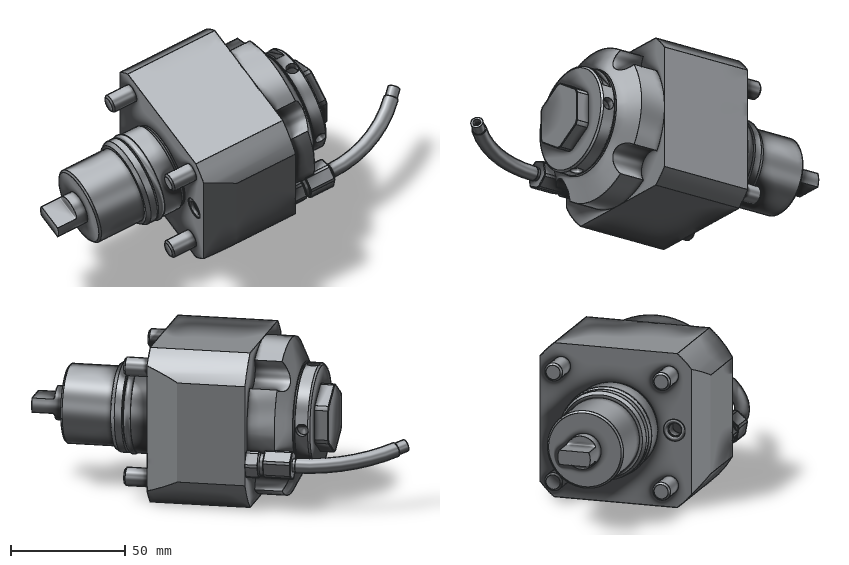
import cadquery as cq
import math


half_width = 35.0
corner_radius = 45.0
block_depth = 44.7
side_reach = 39.0
side_taper_length = 14.5

bolt_offset = 25.0
bolt_radius = 4.1
bolt_length = 12.0
bolt_chamfer = 0.9
bolt_relief_radius = 7.3

cone_start = 57.0
cone_end = 62.8
cone_end_radius = 24.2
ring_start = 63.7
ring_end = 70.3
ring_radius = 23.9
ring_chamfer = 0.9
ring_neck_radius = 23.2
ring_flat_distance = 22.0
ring_flat_start = 64.5
ring_flat_length = 4.0
spanner_hole_radius = 2.7
spanner_hole_depth = 3.4
spanner_hole_point = 1.7
nut_end = 76.6
nut_apothem = 13.7
nut_corner_radius = 15.2
nut_chamfer = 0.3

relief_radius = 19.5
relief_end = 0.9
shank_chamfer_end = 2.0
shank_radius = 20.1
shank_end = 10.8
seal_groove_end = 14.7
seal_groove_radius = 18.0
seal_edge_radius = 19.8
seal_outer_radius = 20.7
seal_end = 13.8
collar_chamfer_start = 18.0
collar_end = 19.8
collar_end_radius = 19.0
nose_radius = 17.5
nose_end = 42.7
nose_chamfer = 0.9
drive_radius = 7.5
drive_shoulder = 47.6
drive_end = 57.7
tang_thickness = 6.5
tang_root_fillet = 1.0

port_x = 27.0
port_recess_radius = 5.0
port_recess_depth = 1.7
port_bore_radius = 2.9
port_bore_depth = 6.8
port_seal_radius = 4.1
port_seal_section_radius = 0.94

fitting_x = 33.0
fitting_z = -13.7
fitting_hex_radius = 6.8
fitting_turned_radius = 6.5
lower_hex_end = 50.2
lower_hex_angle = 2.4
fitting_neck_radius = 5.1
fitting_collar_radius = 5.6
fitting_collar_end = 50.9
upper_hex_start = 52.5
upper_hex_end = 65.0
upper_hex_angle = 20.0
upper_hex_chamfer = 0.3
stub_radius = 2.9
hose_start = 66.4
hose_radius = 3.2
hose_bend_angle = 45.0
hose_lean_angle = 18.7
tip_radius = 2.7
tip_length = 5.1
tip_bore_radius = 1.7
overall_length = 170.7

bend_sine = math.sin(math.radians(hose_bend_angle))
bend_cosine = math.cos(math.radians(hose_bend_angle))
tip_reach = tip_length * bend_cosine + tip_radius * bend_sine
hose_bend_radius = (overall_length - drive_end - hose_start - tip_reach) / bend_sine


def plane_at(y, x=0.0, z=0.0):
    """Plane across the spindle axis, facing +Y, with local x along +X and local y along -Z."""
    return cq.Plane(origin=(x, y, z), xDir=(1, 0, 0), normal=(0, 1, 0))


def cylinder(radius, y_start, y_end, x=0.0, z=0.0):
    """Solid cylinder parallel to the spindle axis."""
    return cq.Workplane(plane_at(y_start, x, z)).circle(radius).extrude(y_end - y_start)


def turned(profile):
    """Solid of revolution about the spindle axis from (radius, y) points."""
    return cq.Workplane("XY").polyline(profile).close().revolve(360, (0, 0, 0), (0, 1, 0))


def hexagon(circumradius, turned_radius, y_start, y_end, vertex_angle, x=0.0, z=0.0):
    """Hexagonal bar with its corners turned down to a cylinder."""
    bar = (
        cq.Workplane(plane_at(y_start, x, z))
        .transformed(rotate=(0, 0, -vertex_angle))
        .polygon(6, 2 * circumradius)
        .extrude(y_end - y_start)
    )
    return bar.intersect(cylinder(turned_radius, y_start, y_end, x, z))


def bolt_positions():
    return [(sx * bolt_offset, sz * bolt_offset) for sx in (-1, 1) for sz in (-1, 1)]


def make_block():
    """Square block with turned corners and a tapered bulge on the +X side."""
    outline = [
        (-half_width, 0),
        (half_width, 0),
        (side_reach, side_taper_length),
        (side_reach, block_depth),
        (-half_width, block_depth),
    ]
    block = cq.Workplane("XY").polyline(outline).close().extrude(half_width, both=True)
    return block.intersect(cylinder(corner_radius, 0, block_depth))


def make_bolts():
    bolts = cq.Workplane("XY")
    for x, z in bolt_positions():
        bolt = cylinder(bolt_radius, -bolt_length, 0, x, z)
        bolts = bolts.add(bolt.faces("<Y").chamfer(bolt_chamfer))
    return bolts.combine()


def make_head():
    """Round head with a conical end, relieved around the four bolts."""
    head = turned([
        (0, block_depth),
        (half_width, block_depth),
        (half_width, cone_start),
        (cone_end_radius, cone_end),
        (0, cone_end),
    ])
    for x, z in bolt_positions():
        head = head.cut(cylinder(bolt_relief_radius, block_depth, cone_end, x, z))
    return head


def make_locking_ring():
    """Ring with four pointed radial spanner holes and one flat between two of them."""
    ring = turned([
        (0, cone_end),
        (ring_neck_radius, cone_end),
        (ring_neck_radius, ring_start),
        (ring_radius, ring_start),
        (ring_radius, ring_end - ring_chamfer),
        (ring_radius - ring_chamfer, ring_end),
        (0, ring_end),
    ])
    hole_floor = ring_radius - spanner_hole_depth
    hole = (
        cq.Workplane("XZ")
        .moveTo(0, hole_floor - spanner_hole_point)
        .lineTo(spanner_hole_radius, hole_floor)
        .lineTo(spanner_hole_radius, ring_radius)
        .lineTo(0, ring_radius)
        .close()
        .revolve(360, (0, 0, 0), (0, 1, 0))
        .translate((0, (ring_start + ring_end) / 2, 0))
    )
    for angle in (0, 90, 180, 270):
        ring = ring.cut(hole.rotate((0, 0, 0), (0, 1, 0), angle))
    flat = (
        cq.Workplane("XY", origin=(0, ring_flat_start, ring_flat_distance))
        .rect(2 * ring_radius, ring_flat_length)
        .extrude(ring_radius)
        .translate((0, ring_flat_length / 2, 0))
    )
    return ring.cut(flat.rotate((0, 0, 0), (0, 1, 0), -45))


def make_collet_nut():
    circumradius = nut_apothem / math.cos(math.pi / 6)
    nut = hexagon(circumradius, nut_corner_radius, ring_end, nut_end, 90)
    return nut.faces(">Y").chamfer(nut_chamfer)


def make_shank():
    """Stepped shank with a bulging O-ring, ending in a plain nose."""
    profile = (
        cq.Workplane("XY")
        .lineTo(relief_radius, 0)
        .lineTo(relief_radius, -relief_end)
        .lineTo(shank_radius, -shank_chamfer_end)
        .lineTo(shank_radius, -shank_end)
        .lineTo(seal_edge_radius, -shank_end)
        .threePointArc((seal_outer_radius, -(shank_end + seal_end) / 2), (seal_edge_radius, -seal_end))
        .lineTo(seal_groove_radius, -seal_end)
        .lineTo(seal_groove_radius, -seal_groove_end)
        .lineTo(shank_radius, -seal_groove_end)
        .lineTo(shank_radius, -collar_chamfer_start)
        .lineTo(collar_end_radius, -collar_end)
        .lineTo(nose_radius, -collar_end)
        .lineTo(nose_radius, -nose_end + nose_chamfer)
        .lineTo(nose_radius - nose_chamfer, -nose_end)
        .lineTo(0, -nose_end)
        .close()
    )
    return profile.revolve(360, (0, 0, 0), (0, 1, 0))


def make_drive():
    """Round drive shaft milled down to a flat tang with filleted roots."""
    drive = cylinder(drive_radius, -drive_end, -nose_end)
    half_tang = tang_thickness / 2
    side_cut = (
        cq.Workplane("YZ")
        .moveTo(-drive_end, half_tang)
        .lineTo(-drive_shoulder - tang_root_fillet, half_tang)
        .radiusArc((-drive_shoulder, half_tang + tang_root_fillet), -tang_root_fillet)
        .lineTo(-drive_shoulder, drive_radius)
        .lineTo(-drive_end, drive_radius)
        .close()
        .extrude(drive_radius, both=True)
    )
    return drive.cut(side_cut).cut(side_cut.mirror("XY"))


def add_coolant_port(body):
    """Recessed port in the mounting face, sealed by an O-ring flush with that face."""
    body = body.cut(cylinder(port_recess_radius, 0, port_recess_depth, port_x))
    seal = (
        cq.Workplane("XY", origin=(port_x, port_seal_section_radius, 0))
        .moveTo(port_seal_radius, 0)
        .circle(port_seal_section_radius)
        .revolve(360, (0, 0, 0), (0, 1, 0))
    )
    return body.union(seal).cut(cylinder(port_bore_radius, 0, port_bore_depth, port_x))


def make_fitting():
    """Two hexagons joined by a collar and a round neck, with a short stub for the hose."""
    place = {"x": fitting_x, "z": fitting_z}
    sizes = (fitting_hex_radius, fitting_turned_radius)
    lower_hex = hexagon(*sizes, block_depth, lower_hex_end, lower_hex_angle, **place)
    collar = cylinder(fitting_collar_radius, lower_hex_end, fitting_collar_end, **place)
    neck = cylinder(fitting_neck_radius, lower_hex_end, upper_hex_start, **place)
    upper_hex = hexagon(*sizes, upper_hex_start, upper_hex_end, upper_hex_angle, **place)
    upper_hex = upper_hex.faces("<Y or >Y").chamfer(upper_hex_chamfer)
    stub = cylinder(stub_radius, upper_hex_end, hose_start, **place)
    return lower_hex.union(collar).union(neck).union(upper_hex).union(stub)


def make_hose():
    """Hose bent toward -X with a bored straight tip, leaned toward +Z about its own root."""
    hose = (
        cq.Workplane(plane_at(0))
        .circle(hose_radius)
        .revolve(hose_bend_angle, (-hose_bend_radius, 0, 0), (-hose_bend_radius, -1, 0))
    )
    tip_plane = cq.Plane(
        origin=(-hose_bend_radius * (1 - bend_cosine), hose_bend_radius * bend_sine, 0),
        xDir=(0, 0, 1),
        normal=(-bend_sine, bend_cosine, 0),
    )
    tip = cq.Workplane(tip_plane).circle(tip_radius).circle(tip_bore_radius).extrude(tip_length)
    leaned = hose.union(tip).rotate((0, 0, 0), (0, 1, 0), hose_lean_angle)
    return leaned.translate((fitting_x, hose_start, fitting_z))


body = make_block()
body = body.union(make_bolts())
body = body.union(make_head())
body = body.union(make_locking_ring())
body = body.union(make_collet_nut())
body = body.union(make_shank())
body = body.union(make_drive())
body = add_coolant_port(body)
body = body.union(make_fitting())
result = body.union(make_hose())